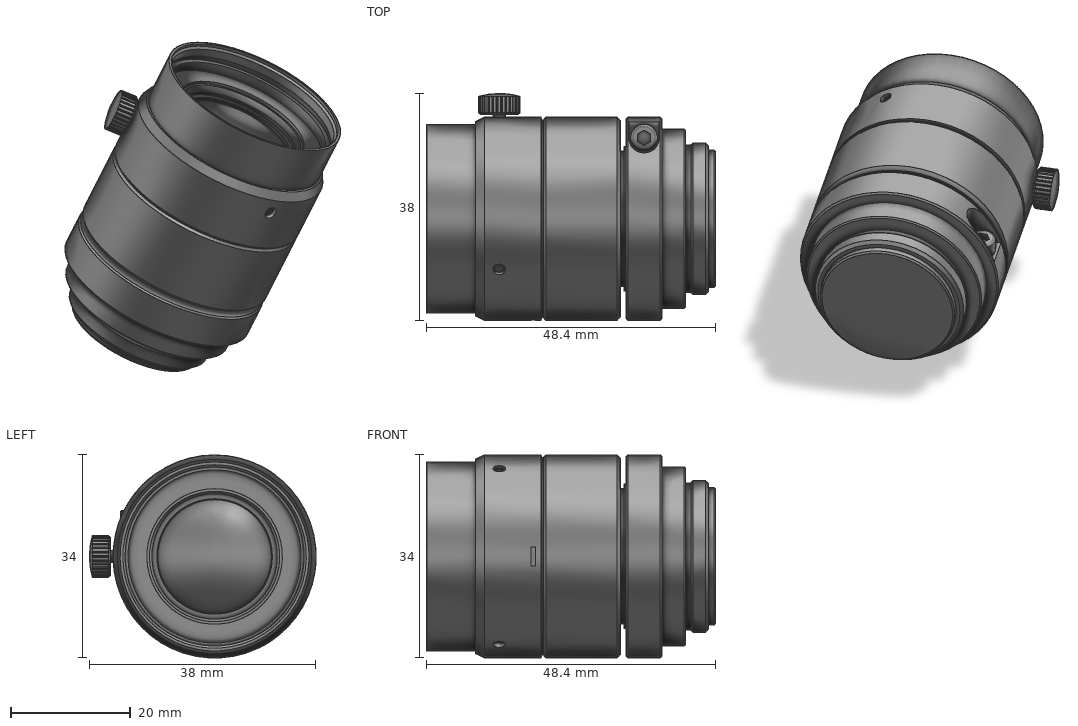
import cadquery as cq
import math

LENGTH = 48.35
BODY_DIA = 34.0
BODY_RADIUS = BODY_DIA / 2

BARREL_RADIUS = 15.8
BARREL_END = 8.1
RIM_BORE_RADIUS = 30.7 / 2
RIM_BORE_DEPTH = 0.5
FILTER_RADIUS = 15.0
FILTER_DEPTH = 2.2
UNDERCUT_END = 3.15
INNER_HOOD_RADIUS = 14.5
HOOD_DEPTH = 4.85
CELL_RADIUS = 22.7 / 2
CELL_DEPTH = 5.3
CONE_START_RADIUS = 21.8 / 2
CONE_END_RADIUS = 21.0 / 2
CONE_END = 6.4
RETAINER_DEPTH = 6.95
LENS_SEAT_RADIUS = 9.65
LENS_RADIUS = 19.0 / 2
LENS_EDGE_DEPTH = 7.55
LENS_SPHERE_RADIUS = 19.35

IRIS_SHOULDER_RADIUS = 16.25
IRIS_CHAMFER_END = 9.65
RING_GAP_START = 19.1
RING_GAP_END = 19.9
RING_GAP_DEPTH = 0.45
RING_GAP_FLOOR_START = 19.25
RING_GAP_FLOOR_END = 19.55

FOCUS_RING_END = 32.4
FOCUS_CHAMFER = 0.6

NECK_RADIUS = 22.7 / 2
FLANGE_START = 33.0
FLANGE_RADIUS = 12.1

CLAMP_START = 33.35
CLAMP_END = 39.35
CLAMP_CHAMFER = 0.3

SEAT_RADIUS = 15.0
SEAT_END = 43.3
SEAT_CHAMFER = 0.25
RELIEF_RADIUS = 12.35
THREAD_START = 44.2
THREAD_END = 47.15
THREAD_RADIUS = 12.7
THREAD_CHAMFER = 0.55
TAIL_RADIUS = 23.0 / 2
TAIL_CHAMFER = 0.3

SCREW_X = 12.15
SCREW_DIA = 2.05
SET_SCREW_DEPTH = 0.8
SCREW_SPACING = 120.0

THUMB_DIA = 7.0
THUMB_START = 17.45
THUMB_DOME_START = 20.45
OVERALL_WIDTH = 37.95
THUMB_TOP = OVERALL_WIDTH - BODY_RADIUS
THUMB_CHAMFER = 0.35
KNURL_COUNT = 30
KNURL_DEPTH = 0.15

MARK_X = 17.85
MARK_WIDTH = 0.75
MARK_LENGTH = 3.15
MARK_DEPTH = 0.2

CLAMP_SCREW_X = (CLAMP_START + CLAMP_END) / 2
CLAMP_SCREW_Y = 13.55
POCKET_WIDTH = 5.05
POCKET_FLOOR = 5.1
HEAD_DIA = 4.5
HEAD_TOP = 7.7
HEAD_FILLET = 0.4
HEX_DIA = 2.5
HEX_DEPTH = 1.2


def lens_body():
    """Revolve the whole stepped barrel, including the hood cavity and front lens."""
    lens_sag = LENS_SPHERE_RADIUS - math.sqrt(LENS_SPHERE_RADIUS**2 - LENS_RADIUS**2)
    mid_angle = math.asin(LENS_RADIUS / LENS_SPHERE_RADIUS) / 2
    lens_apex = LENS_EDGE_DEPTH - lens_sag
    arc_mid = (
        lens_apex + LENS_SPHERE_RADIUS * (1 - math.cos(mid_angle)),
        LENS_SPHERE_RADIUS * math.sin(mid_angle),
    )
    gap_floor_radius = BODY_RADIUS - RING_GAP_DEPTH
    profile = (
        cq.Workplane("XZ")
        .moveTo(lens_apex, 0)
        .threePointArc(arc_mid, (LENS_EDGE_DEPTH, LENS_RADIUS))
        .lineTo(LENS_EDGE_DEPTH, LENS_SEAT_RADIUS)
        .lineTo(RETAINER_DEPTH, LENS_SEAT_RADIUS)
        .lineTo(RETAINER_DEPTH, CONE_END_RADIUS)
        .lineTo(CONE_END, CONE_END_RADIUS)
        .lineTo(CELL_DEPTH, CONE_START_RADIUS)
        .lineTo(CELL_DEPTH, CELL_RADIUS)
        .lineTo(HOOD_DEPTH, CELL_RADIUS)
        .lineTo(HOOD_DEPTH, INNER_HOOD_RADIUS)
        .lineTo(UNDERCUT_END, INNER_HOOD_RADIUS)
        .lineTo(UNDERCUT_END, RIM_BORE_RADIUS)
        .lineTo(FILTER_DEPTH, RIM_BORE_RADIUS)
        .lineTo(FILTER_DEPTH, FILTER_RADIUS)
        .lineTo(RIM_BORE_DEPTH + RIM_BORE_RADIUS - FILTER_RADIUS, FILTER_RADIUS)
        .lineTo(RIM_BORE_DEPTH, RIM_BORE_RADIUS)
        .lineTo(0, RIM_BORE_RADIUS)
        .lineTo(0, BARREL_RADIUS)
        .lineTo(BARREL_END, BARREL_RADIUS)
        .lineTo(BARREL_END, IRIS_SHOULDER_RADIUS)
        .lineTo(IRIS_CHAMFER_END, BODY_RADIUS)
        .lineTo(RING_GAP_START, BODY_RADIUS)
        .lineTo(RING_GAP_FLOOR_START, gap_floor_radius)
        .lineTo(RING_GAP_FLOOR_END, gap_floor_radius)
        .lineTo(RING_GAP_END, BODY_RADIUS)
        .lineTo(FOCUS_RING_END - FOCUS_CHAMFER, BODY_RADIUS)
        .lineTo(FOCUS_RING_END, BODY_RADIUS - FOCUS_CHAMFER)
        .lineTo(FOCUS_RING_END, NECK_RADIUS)
        .lineTo(FLANGE_START, NECK_RADIUS)
        .lineTo(FLANGE_START, FLANGE_RADIUS)
        .lineTo(CLAMP_START, FLANGE_RADIUS)
        .lineTo(CLAMP_START, BODY_RADIUS - CLAMP_CHAMFER)
        .lineTo(CLAMP_START + CLAMP_CHAMFER, BODY_RADIUS)
        .lineTo(CLAMP_END - CLAMP_CHAMFER, BODY_RADIUS)
        .lineTo(CLAMP_END, BODY_RADIUS - CLAMP_CHAMFER)
        .lineTo(CLAMP_END, SEAT_RADIUS)
        .lineTo(SEAT_END - SEAT_CHAMFER, SEAT_RADIUS)
        .lineTo(SEAT_END, SEAT_RADIUS - SEAT_CHAMFER)
        .lineTo(SEAT_END, RELIEF_RADIUS)
        .lineTo(THREAD_START, RELIEF_RADIUS)
        .lineTo(THREAD_START + THREAD_RADIUS - RELIEF_RADIUS, THREAD_RADIUS)
        .lineTo(THREAD_END - THREAD_CHAMFER, THREAD_RADIUS)
        .lineTo(THREAD_END, THREAD_RADIUS - THREAD_CHAMFER)
        .lineTo(THREAD_END, TAIL_RADIUS)
        .lineTo(LENGTH - TAIL_CHAMFER, TAIL_RADIUS)
        .lineTo(LENGTH, TAIL_RADIUS - TAIL_CHAMFER)
        .lineTo(LENGTH, 0)
        .close()
    )
    return profile.revolve(360, (0, 0, 0), (1, 0, 0))


def y_cylinder(diameter, start, end):
    """Cylinder along +Y at the screw station of the iris ring."""
    return (
        cq.Workplane("XZ", origin=(SCREW_X, start, 0))
        .circle(diameter / 2)
        .extrude(start - end)
    )


def set_screw_holes():
    """Blind holes that share the thumb screw's even spacing around the ring."""
    hole = y_cylinder(SCREW_DIA, BODY_RADIUS - SET_SCREW_DEPTH, THUMB_START)
    first = hole.rotate((0, 0, 0), (1, 0, 0), SCREW_SPACING)
    second = hole.rotate((0, 0, 0), (1, 0, 0), -SCREW_SPACING)
    return first.union(second)


def thumb_screw():
    """Knurled head with a domed top, on a plain shank, pointing to +Y."""
    radius = THUMB_DIA / 2
    dome_rise = THUMB_TOP - THUMB_DOME_START
    dome_radius = (radius**2 + dome_rise**2) / (2 * dome_rise)
    half_angle = math.asin(radius / dome_radius) / 2
    dome_mid = (
        dome_radius * math.sin(half_angle),
        THUMB_TOP - dome_radius * (1 - math.cos(half_angle)),
    )
    head = (
        cq.Workplane("XY", origin=(SCREW_X, 0, 0))
        .moveTo(0, THUMB_START)
        .lineTo(radius - THUMB_CHAMFER, THUMB_START)
        .lineTo(radius, THUMB_START + THUMB_CHAMFER)
        .lineTo(radius, THUMB_DOME_START)
        .threePointArc(dome_mid, (0, THUMB_TOP))
        .close()
        .revolve(360, (0, 0, 0), (0, 1, 0))
    )
    v_grooves = (
        cq.Workplane("XZ", origin=(SCREW_X, THUMB_START, 0))
        .polarArray(radius, 0, 360, KNURL_COUNT)
        .polygon(4, 2 * KNURL_DEPTH)
        .extrude(THUMB_START - THUMB_TOP)
    )
    shank = y_cylinder(SCREW_DIA, BODY_RADIUS - SET_SCREW_DEPTH, THUMB_START + THUMB_CHAMFER)
    return head.cut(v_grooves).union(shank)


def index_mark():
    """Shallow rectangular recess facing -Y."""
    mark = cq.Workplane("XY").box(MARK_WIDTH, 2 * MARK_DEPTH, MARK_LENGTH)
    return mark.translate((MARK_X, -BODY_RADIUS, 0))


def clamp_pocket():
    """Flat-floored pocket with a round inner end, open to the outside of the clamp ring."""
    height = BODY_RADIUS - POCKET_FLOOR
    base = cq.Workplane("XY", origin=(CLAMP_SCREW_X, CLAMP_SCREW_Y, POCKET_FLOOR))
    round_end = base.circle(POCKET_WIDTH / 2).extrude(height)
    opening_length = BODY_RADIUS - CLAMP_SCREW_Y
    opening = (
        base.center(0, opening_length / 2)
        .rect(POCKET_WIDTH, opening_length)
        .extrude(height)
    )
    return round_end.union(opening)


def clamp_screw():
    """Socket head cap screw standing on the pocket floor."""
    head = (
        cq.Workplane("XY", origin=(CLAMP_SCREW_X, CLAMP_SCREW_Y, POCKET_FLOOR))
        .circle(HEAD_DIA / 2)
        .extrude(HEAD_TOP - POCKET_FLOOR)
        .faces(">Z")
        .edges()
        .fillet(HEAD_FILLET)
    )
    socket = (
        cq.Workplane("XY", origin=(CLAMP_SCREW_X, CLAMP_SCREW_Y, HEAD_TOP))
        .transformed(rotate=(0, 0, 90))
        .polygon(6, HEX_DIA)
        .extrude(-HEX_DEPTH)
    )
    return head.cut(socket)


body = lens_body().cut(set_screw_holes()).cut(index_mark()).cut(clamp_pocket())
result = body.union(thumb_screw()).union(clamp_screw())